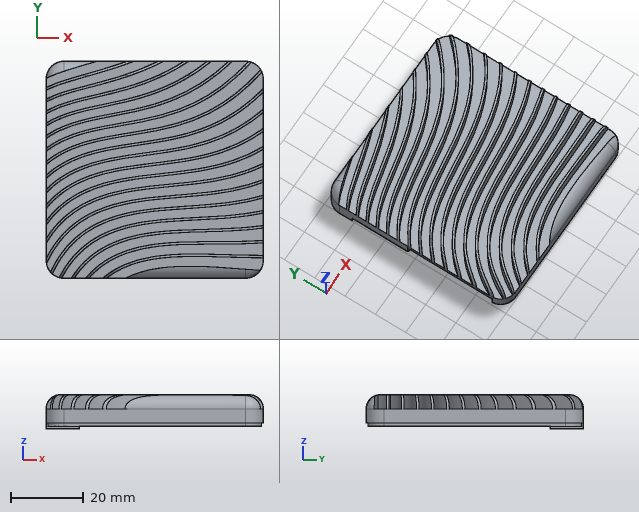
import cadquery as cq
import math

side = 60.0
total_height = 9.48
corner_radius = 5.0
half = side / 2

fin_floor_z = 5.5
dome_radius = total_height - fin_floor_z

rim_z = 1.7
lip_z = 0.73
lip_inset = 0.5
foot_size = 9.2
foot_edge_y = half - foot_size
lip_end_radius = 1.62 / 2
lip_end_y = 19.2
lip_end_turn = 60.0

opening_y_min = -25.4
opening_y_max = 2.55
opening_top_z = 4.13
opening_depth = 3.5
opening_back_x = -half + opening_depth

recess_y_min = -20.5
recess_y_max = -2.55
recess_top_z = 2.43
recess_depth = 2.0
recess_corner_radius = 1.0
tab_y_min = -10.85
tab_y_max = -3.85
tab_bottom_z = 1.46
tab_length = 1.0
tab_corner_radius = 1.62 / 2

fin_count = 20
fin_thickness = 0.68
back_guide = [(-36.2, 20.0), (-33.4, 25.3), (-28.3, 27.4), (-16.5, 29.6), (-0.7, 35.0)]
middle_guide = [(-33.0, -12.1), (-22.5, 5.2), (-1.4, 3.6), (16.9, -0.7), (35.2, 18.4)]
front_guide = [(-17.2, -39.7), (-9.3, -24.0), (8.6, -24.3), (29.5, -30.5), (49.2, -27.9)]
curve_start = -0.08
curve_end = 1.12
curve_spans = 16

cut_margin = 1.0


def box(x_min, x_max, y_min, y_max, z_min, z_max):
    """Axis-aligned box given by its limits."""
    size = (x_max - x_min, y_max - y_min, z_max - z_min)
    return cq.Workplane("XY").box(*size, centered=False).translate((x_min, y_min, z_min))


def rounded_square(inset, z_min, z_max):
    """Square plate with rounded vertical corners, inset from the outline of the body."""
    width = side - 2 * inset
    plate = cq.Workplane("XY", origin=(0, 0, z_min)).rect(width, width).extrude(z_max - z_min)
    return plate.edges("|Z").fillet(corner_radius - inset)


def fin_control_points(index):
    """Control points of one fin: quadratic blend of the guides from back (0) to front (1)."""
    blend = index / (fin_count - 1)
    back_weight = (1 - blend) * (1 - 2 * blend)
    middle_weight = 4 * blend * (1 - blend)
    front_weight = blend * (2 * blend - 1)
    return [
        tuple(back_weight * b + middle_weight * m + front_weight * f for b, m, f in zip(*points))
        for points in zip(back_guide, middle_guide, front_guide)
    ]


def bezier_point(controls, t):
    """Point of a Bezier curve of any degree."""
    degree = len(controls) - 1
    weights = [math.comb(degree, k) * t**k * (1 - t) ** (degree - k) for k in range(degree + 1)]
    return tuple(sum(w * c[axis] for w, c in zip(weights, controls)) for axis in range(2))


def bezier_slope(controls, t):
    """Derivative of a Bezier curve with respect to its parameter."""
    degree = len(controls) - 1
    steps = [
        tuple(degree * (b - a) for a, b in zip(start, end))
        for start, end in zip(controls, controls[1:])
    ]
    return bezier_point(steps, t)


def fin_side(index, offset):
    """Points along a fin, shifted sideways from its centre line (positive is towards +Y)."""
    controls = fin_control_points(index)
    points = []
    for step in range(curve_spans + 1):
        t = curve_start + (curve_end - curve_start) * step / curve_spans
        x, y = bezier_point(controls, t)
        dx, dy = bezier_slope(controls, t)
        length = math.hypot(dx, dy)
        points.append((x - offset * dy / length, y + offset * dx / length))
    return points


def fin_gap(index):
    """Cutter for the groove between one fin and the next one towards the front."""
    upper_side = fin_side(index, -fin_thickness / 2)
    lower_side = fin_side(index + 1, fin_thickness / 2)
    return (
        cq.Workplane("XY", origin=(0, 0, fin_floor_z))
        .moveTo(*upper_side[0])
        .spline(upper_side[1:], includeCurrent=True)
        .lineTo(*lower_side[-1])
        .spline(lower_side[-2::-1], includeCurrent=True)
        .close()
        .extrude(dome_radius + cut_margin)
    )


def finned_body():
    """Domed slab with the grooves between the fins cut down to the floor."""
    body = rounded_square(0, rim_z, total_height).faces(">Z").edges().fillet(dome_radius)
    gaps = [fin_gap(index).val() for index in range(fin_count - 1)]
    return cq.Workplane(body.val().cut(cq.Compound.makeCompound(gaps)))


def lip():
    """Inset lip under the rim, with a rounded and slanted end beside the foot."""
    plate = rounded_square(lip_inset, lip_z, rim_z)
    face_x = -half + lip_inset
    turn = math.radians(lip_end_turn)
    arc_end_x = face_x + lip_end_radius * (1 - math.cos(turn))
    arc_end_y = lip_end_y + lip_end_radius * math.sin(turn)
    slant_end_x = arc_end_x + (foot_edge_y - arc_end_y) * math.tan(turn)
    gap = (
        cq.Workplane("XY", origin=(0, 0, lip_z))
        .moveTo(face_x, lip_end_y)
        .radiusArc((arc_end_x, arc_end_y), lip_end_radius)
        .lineTo(slant_end_x, foot_edge_y)
        .lineTo(face_x - cut_margin, foot_edge_y)
        .lineTo(face_x - cut_margin, lip_end_y)
        .close()
        .extrude(rim_z - lip_z)
    )
    return plate.cut(gap)


def foot():
    """Square foot under the -X +Y corner, following the rounded outline of the body."""
    block = box(-half, -half + foot_size, foot_edge_y, half, 0, rim_z)
    return block.intersect(rounded_square(0, 0, rim_z))


def connector_opening():
    """Cutter for the opening in the -X side and the recess behind it, less the tab."""
    opening = box(
        -half - cut_margin, opening_back_x, opening_y_min, opening_y_max, 0, opening_top_z
    )
    recess_back_x = opening_back_x + recess_depth
    recess = box(opening_back_x, recess_back_x, recess_y_min, recess_y_max, 0, recess_top_z)
    recess = recess.edges("|Z and >X").fillet(recess_corner_radius)
    tab = box(
        recess_back_x - tab_length, recess_back_x, tab_y_min, tab_y_max, tab_bottom_z, recess_top_z
    )
    tab = tab.edges("|Z and <X").fillet(tab_corner_radius)
    return opening.union(recess.cut(tab))


result = finned_body().union(lip()).union(foot()).cut(connector_opening())